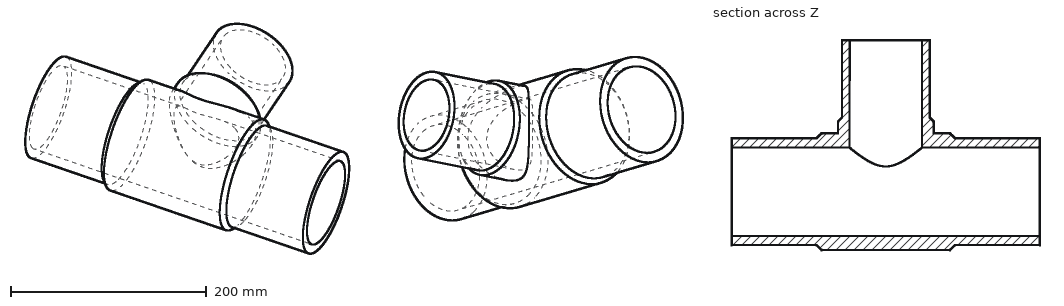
import cadquery as cq

run_length = 315.0
run_diameter = 110.0
run_bore = 90.0

body_length = 141.5
body_diameter = 120.0
body_chamfer = (body_diameter - run_diameter) / 2

total_width = 215.0
branch_end = total_width - body_diameter / 2
branch_diameter = 90.0
branch_bore = 73.7

branch_stub_length = 79.0
collar_end = branch_end - branch_stub_length
collar_diameter = 98.3
collar_chamfer = (collar_diameter - branch_diameter) / 2


def run_cylinder(diameter, length):
    """Cylinder along X, centred on the origin."""
    return cq.Workplane("YZ").circle(diameter / 2).extrude(length / 2, both=True)


def branch_cylinder(diameter, end):
    """Cylinder along +Y, from the run axis to the given end."""
    return cq.Workplane("XZ").circle(diameter / 2).extrude(-end)


body = run_cylinder(body_diameter, body_length).faces("<X or >X").chamfer(body_chamfer)
collar = branch_cylinder(collar_diameter, collar_end).faces(">Y").chamfer(collar_chamfer)
outside = (
    run_cylinder(run_diameter, run_length)
    .union(body)
    .union(collar)
    .union(branch_cylinder(branch_diameter, branch_end))
)

result = (
    outside
    .cut(run_cylinder(run_bore, run_length))
    .cut(branch_cylinder(branch_bore, branch_end))
)